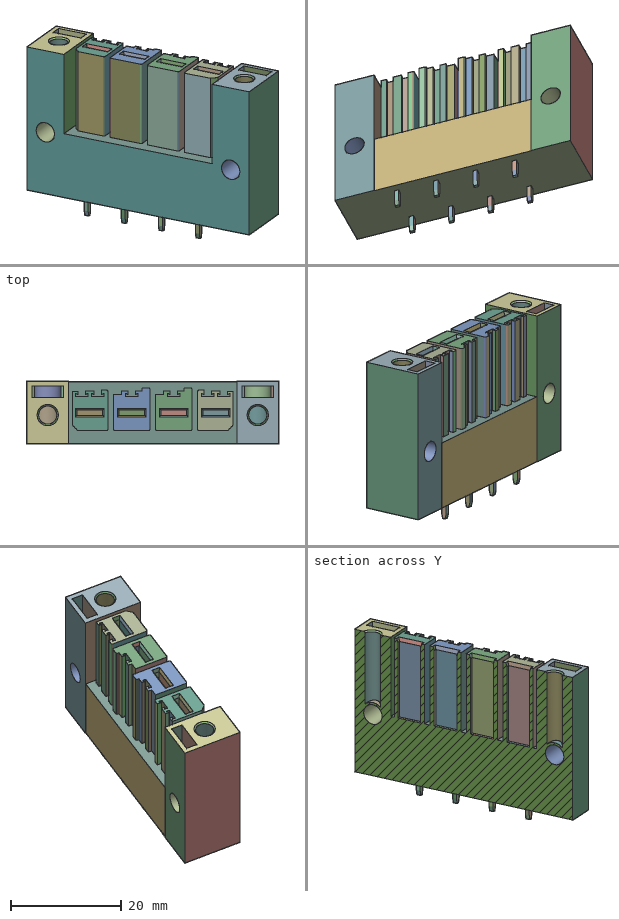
import cadquery as cq

tower_count = 4
body_length = 45.7
pitch = body_length / (tower_count + 2)
body_depth = 11.4
body_height = 28.05
floor_height = 12.55
back_relief = 0.1

post_offset = (body_length - pitch) / 2
cross_hole_diameter = 3.75
cross_hole_height = 12.05
screw_hole_diameter = 3.3
screw_hole_chamfer = 0.27
screw_hole_y = -0.45
nut_slot_length = 5.7
nut_slot_width = 2.1
nut_slot_y = 3.75
sleeve_diameter = 4.8

tower_half_width = 3.3
end_tower_outer_side = 3.15
tower_front = -3.3
tower_corner_radius = 0.27
end_tower_chamfer = 1.0
outer_arm_back = 3.8
rib_back = 3.95
inner_arm_back = 4.05
low_shoulder_back = 3.25
high_shoulder_back = 4.5
shoulder_x = 1.85
shoulder_chamfer = 0.2

groove_floor = 2.93
groove_width = 2.25
groove_neck = 1.33
groove_lip_tip = 3.25
groove_lip_root = 3.47
groove_spacing = 2.93

opening_length = 5.2
opening_width = 1.55
funnel_inset = 0.27
funnel_depth = 0.75

pin_size_x = 0.82
pin_size_y = 1.0
pin_length = 3.45
pin_tip_length = 1.0
pin_tip_size_y = 0.5
pin_row_y = 3.75

tower_height = body_height - floor_height
tower_places = [(i - (tower_count - 1) / 2) * pitch for i in range(tower_count)]


def block(size_x, size_y, bottom, top, x=0.0, y=0.0):
    """Upright box centred on (x, y) between two heights."""
    base = cq.Workplane("XY", origin=(x, y, bottom))
    return base.rect(size_x, size_y).extrude(top - bottom)


def body_shell():
    """U-shaped block with a slight relief along the back between the posts."""
    gap = body_length - 2 * pitch
    shell = block(body_length, body_depth, 0, body_height)
    shell = shell.cut(block(gap, body_depth, floor_height, body_height))
    return shell.cut(block(gap, 2 * back_relief, 0, floor_height, y=body_depth / 2))


def cross_cylinder(x, diameter):
    """Cylinder along Y through the whole body, on the cross hole axis of the post at x."""
    base = cq.Workplane("XZ", origin=(x, 0, cross_hole_height))
    return base.circle(diameter / 2).extrude(body_depth / 2, both=True)


def screw_hole(x):
    """Vertical hole with a countersunk mouth, down to the cross hole axis."""
    radius = screw_hole_diameter / 2
    hole = (
        cq.Workplane("XY", origin=(x, screw_hole_y, cross_hole_height))
        .circle(radius)
        .extrude(body_height - cross_hole_height)
    )
    mouth = cq.Solid.makeCone(
        radius,
        radius + screw_hole_chamfer,
        screw_hole_chamfer,
        pnt=cq.Vector(x, screw_hole_y, body_height - screw_hole_chamfer),
    )
    return hole.union(cq.Workplane(mouth))


def post_cutouts(x):
    """Cross hole, plus screw hole and nut slot that both end on the sleeve around it."""
    nut_slot = block(nut_slot_length, nut_slot_width, cross_hole_height, body_height, x, nut_slot_y)
    vertical_cuts = screw_hole(x).union(nut_slot).cut(cross_cylinder(x, sleeve_diameter))
    return [vertical_cuts, cross_cylinder(x, cross_hole_diameter)]


def coding_groove(x, back):
    """Outline points of one T-groove, left to right, between edges at y = back."""
    neck = groove_neck / 2
    half = groove_width / 2
    left = [(-neck, back), (-neck, groove_lip_tip), (-half, groove_lip_root), (-half, groove_floor)]
    right = [(-px, py) for px, py in reversed(left)]
    return [(x + px, py) for px, py in left + right]


def end_tower():
    """Left end tower: chamfered outer front corner and two coding grooves, mirrored for the right."""
    first, second = -groove_spacing / 2, groove_spacing / 2
    neck = groove_neck / 2
    outline = [
        (-end_tower_outer_side, tower_front),
        (-end_tower_outer_side, outer_arm_back),
        (first - neck, outer_arm_back),
        *coding_groove(first, rib_back)[1:],
        *coding_groove(second, rib_back)[:-1],
        (second + neck, inner_arm_back),
        (tower_half_width, inner_arm_back),
        (tower_half_width, tower_front),
    ]
    tower = cq.Workplane("XY").polyline(outline).close().extrude(tower_height)
    tower = tower.edges("|Z and <X and <Y").chamfer(end_tower_chamfer)
    return tower.edges("|Z and >X").fillet(tower_corner_radius)


def middle_tower():
    """Middle tower: one coding groove between a low left and a high right shoulder."""
    outline = [
        (-tower_half_width, tower_front),
        (-tower_half_width, low_shoulder_back),
        (-shoulder_x, low_shoulder_back),
        (-shoulder_x, rib_back),
        *coding_groove(0, rib_back),
        (shoulder_x, rib_back),
        (shoulder_x, high_shoulder_back - shoulder_chamfer),
        (shoulder_x + shoulder_chamfer, high_shoulder_back),
        (tower_half_width, high_shoulder_back),
        (tower_half_width, tower_front),
    ]
    tower = cq.Workplane("XY").polyline(outline).close().extrude(tower_height)
    return tower.edges("|Z and (<Y or >X)").fillet(tower_corner_radius)


def contact_opening():
    """Slot down to the tower foot, with a funnel-shaped mouth, for a tower standing at z = 0."""
    slot_length = opening_length - 2 * funnel_inset
    slot_width = opening_width - 2 * funnel_inset
    slot = block(slot_length, slot_width, 0, tower_height)
    funnel = (
        cq.Workplane("XY", origin=(0, 0, tower_height - funnel_depth))
        .rect(slot_length, slot_width)
        .workplane(offset=funnel_depth)
        .rect(opening_length, opening_width)
        .loft()
    )
    return slot.union(funnel)


def make_housing():
    housing = body_shell()
    for x in (-post_offset, post_offset):
        for cutout in post_cutouts(x):
            housing = housing.cut(cutout)
    left_end = end_tower()
    towers = [left_end, *[middle_tower()] * (tower_count - 2), left_end.mirror("YZ")]
    for x, tower in zip(tower_places, towers):
        housing = housing.union(tower.cut(contact_opening()).translate((x, 0, floor_height)))
    return housing


def make_solder_pin(x, y):
    """Rectangular pin hanging from the underside, its tip tapering front to back."""
    half = pin_size_y / 2
    tip_half = pin_tip_size_y / 2
    shank_end = pin_tip_length - pin_length
    profile = [
        (-half, 0),
        (-half, shank_end),
        (-tip_half, -pin_length),
        (tip_half, -pin_length),
        (half, shank_end),
        (half, 0),
    ]
    pin = cq.Workplane("YZ").polyline(profile).close().extrude(pin_size_x / 2, both=True)
    return pin.translate((x, y, 0))


housing = make_housing()
solder_pins = [make_solder_pin(x, y) for x in tower_places for y in (-pin_row_y, pin_row_y)]

result = cq.Compound.makeCompound([housing.val(), *[pin.val() for pin in solder_pins]])